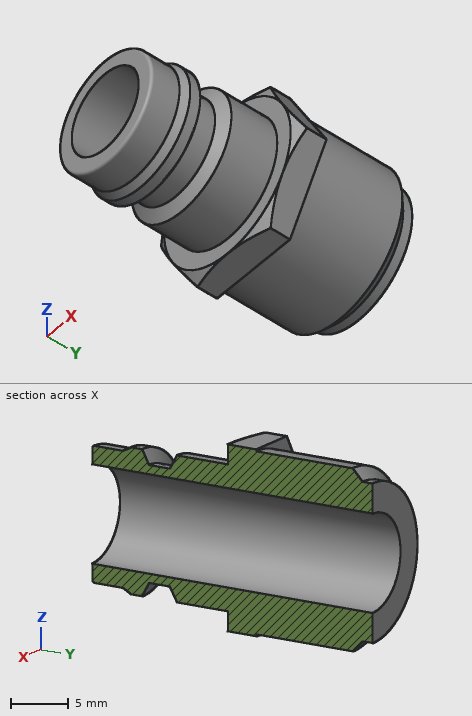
import cadquery as cq
import math

total_length = 29.0
bore_diameter = 9.0

nose_diameter = 12.5
tip_round_radius = 0.3
nose_end = 3.2
collar_diameter = 13.4
collar_start = 4.03
collar_end = 5.2
groove_diameter = 10.75
groove_start = 5.9
groove_end = 8.0
shank_start = 8.75

hex_start = 14.0
hex_end = 17.0
hex_sides = 6
hex_across_flats = 17.0
hex_chamfer_angle = 30.0

body_diameter = 16.68
body_end = 26.95
rear_diameter = 14.53
rear_start = 27.95


def revolve_about_y(profile):
    """Turn a closed (radius, station) profile about the Y axis."""
    return cq.Workplane("XY").polyline(profile).close().revolve(360, (0, 0, 0), (0, 1, 0))


def make_turned_body():
    """Plug end, core and rear body as one stepped solid of revolution with a rounded tip."""
    nose_radius = nose_diameter / 2
    collar_radius = collar_diameter / 2
    groove_radius = groove_diameter / 2
    body_radius = body_diameter / 2
    rear_radius = rear_diameter / 2
    turned_body = revolve_about_y([
        (0, 0),
        (nose_radius, 0),
        (nose_radius, nose_end),
        (collar_radius, collar_start),
        (collar_radius, collar_end),
        (groove_radius, groove_start),
        (groove_radius, groove_end),
        (collar_radius, shank_start),
        (collar_radius, hex_start),
        (body_radius, hex_start),
        (body_radius, body_end),
        (rear_radius, rear_start),
        (rear_radius, total_length),
        (0, total_length),
    ])
    return turned_body.faces("<Y").edges().fillet(tip_round_radius)


def make_hexagon():
    """Hexagon with corners on the X axis, its nose-side corners chamfered by a cone."""
    across_corners = hex_across_flats / math.cos(math.pi / hex_sides)
    hexagon = (
        cq.Workplane("XZ", origin=(0, hex_end, 0))
        .polygon(hex_sides, across_corners)
        .extrude(hex_end - hex_start)
    )
    flat_radius = hex_across_flats / 2
    corner_radius = across_corners / 2
    chamfer_length = (corner_radius - flat_radius) * math.tan(math.radians(hex_chamfer_angle))
    chamfer_envelope = revolve_about_y([
        (0, hex_start),
        (flat_radius, hex_start),
        (corner_radius, hex_start + chamfer_length),
        (corner_radius, hex_end),
        (0, hex_end),
    ])
    return hexagon.intersect(chamfer_envelope)


def make_bore():
    """Plain bore through the whole length."""
    return cq.Workplane("XZ").circle(bore_diameter / 2).extrude(-total_length)


result = make_turned_body().union(make_hexagon()).cut(make_bore())